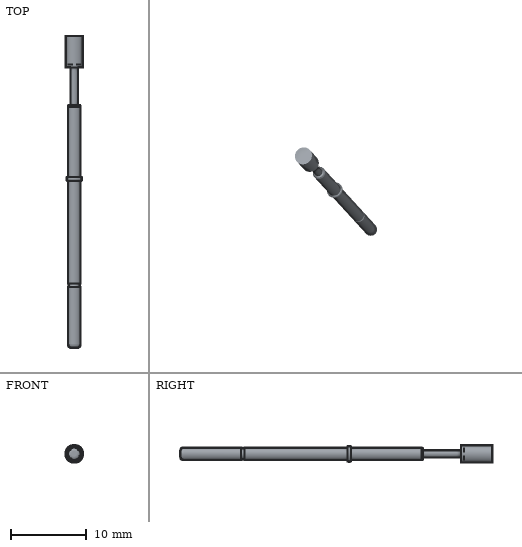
import cadquery as cq
import math

total_length = 41.1

head_diameter = 2.3
head_length = 4.15
head_start = total_length - head_length

recess_mouth_diameter = 2.24
recess_floor_diameter = 2.0
recess_depth = 0.4

plunger_diameter = 1.0
plunger_shoulder_diameter = 1.2

barrel_diameter = 1.67
barrel_radius = barrel_diameter / 2
barrel_length = 32.0
mouth_chamfer_length = 0.25
mouth_chamfer_depth = 0.13
end_radius = 0.46

collar_diameter = 2.1
collar_side_diameter = 1.8
collar_width = 0.5
collar_position = 22.25

groove_width = 0.45
groove_depth = 0.12
groove_position = 8.25


def revolve_about_axis(profile):
    """Turn a closed half profile (X = radius, Y = length) about the Y axis."""
    return profile.revolve(360, (0, 0, 0), (0, 1, 0))


def make_cone(start_diameter, end_diameter, start, end):
    """Straight or tapered round bar on the Y axis between two Y positions."""
    return revolve_about_axis(
        cq.Workplane("XY")
        .moveTo(0, start)
        .lineTo(start_diameter / 2, start)
        .lineTo(end_diameter / 2, end)
        .lineTo(0, end)
        .close()
    )


def make_barrel():
    """Barrel with a rounded connector end and a chamfered mouth."""
    arc_offset = end_radius * (1 - math.sqrt(0.5))
    return revolve_about_axis(
        cq.Workplane("XY")
        .lineTo(barrel_radius - end_radius, 0)
        .threePointArc(
            (barrel_radius - arc_offset, arc_offset),
            (barrel_radius, end_radius),
        )
        .lineTo(barrel_radius, barrel_length - mouth_chamfer_length)
        .lineTo(barrel_radius - mouth_chamfer_depth, barrel_length)
        .lineTo(0, barrel_length)
        .close()
    )


def make_collar():
    """Press-fit collar with flat sides and a bulged rim."""
    lower_side = collar_position - collar_width / 2
    upper_side = collar_position + collar_width / 2
    return revolve_about_axis(
        cq.Workplane("XY")
        .moveTo(0, lower_side)
        .lineTo(collar_side_diameter / 2, lower_side)
        .threePointArc(
            (collar_diameter / 2, collar_position),
            (collar_side_diameter / 2, upper_side),
        )
        .lineTo(0, upper_side)
        .close()
    )


def make_groove():
    """Ring of round section that is cut out of the barrel."""
    return revolve_about_axis(
        cq.Workplane("XY")
        .moveTo(barrel_radius, groove_position - groove_width / 2)
        .threePointArc(
            (barrel_radius - groove_depth, groove_position),
            (barrel_radius, groove_position + groove_width / 2),
        )
        .close()
    )


def make_head():
    """Cylindrical head with the recess cut into its underside."""
    head = make_cone(head_diameter, head_diameter, head_start, total_length)
    recess = make_cone(
        recess_mouth_diameter,
        recess_floor_diameter,
        head_start,
        head_start + recess_depth,
    )
    return head.cut(recess)


def make_plunger():
    """Plunger running from the barrel to the recess floor, with a shoulder inside the recess."""
    recess_floor = head_start + recess_depth
    rod = make_cone(plunger_diameter, plunger_diameter, barrel_length, recess_floor)
    shoulder = make_cone(
        plunger_shoulder_diameter,
        plunger_shoulder_diameter,
        head_start,
        recess_floor,
    )
    return rod.union(shoulder)


result = (
    make_barrel()
    .cut(make_groove())
    .union(make_collar())
    .union(make_plunger())
    .union(make_head())
)